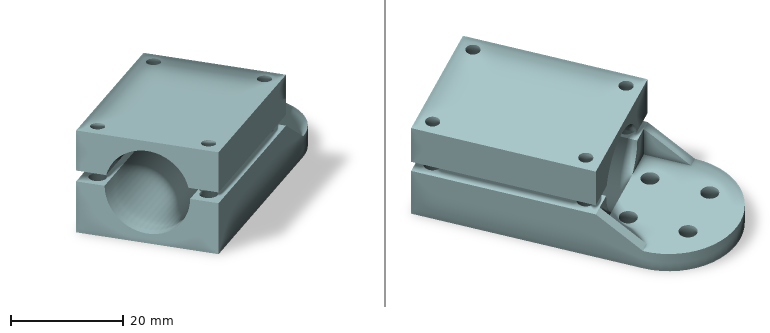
import cadquery as cq

width = 27.0
length = 57.5
height = 20.0

clamp_length = 35.0
base_height = 10.0
cap_thickness = 7.9
bore_radius = 8.1

screw_inset = 3.0
cap_hole_diameter = 2.7
base_hole_diameter = 3.3

tab_thickness = 4.0
wall_thickness = 2.0
tab_hole_spacing = 11.3
tab_hole_diameter = 3.4

tab_radius = width / 2
tab_center_y = length - tab_radius
screw_spacing_x = width - 2 * screw_inset
screw_spacing_y = clamp_length - 2 * screw_inset


def hole_grid(center_y, spacing_x, spacing_y, diameter):
    """Four vertical cylinders, tall enough to cut through the whole clamp."""
    return (
        cq.Workplane("XY")
        .center(0, center_y)
        .rarray(spacing_x, spacing_y, 2, 2)
        .circle(diameter / 2)
        .extrude(height)
    )


def screw_holes(diameter):
    return hole_grid(clamp_length / 2, screw_spacing_x, screw_spacing_y, diameter)


def clamp_bore():
    """Cylinder along Y, centred on the top face of the base."""
    return (
        cq.Workplane("XZ")
        .center(0, base_height)
        .circle(bore_radius)
        .extrude(-clamp_length)
    )


def mounting_tab():
    """Flat plate under the whole base, with a semicircular far end."""
    return (
        cq.Workplane("XY")
        .moveTo(-width / 2, 0)
        .lineTo(width / 2, 0)
        .lineTo(width / 2, tab_center_y)
        .threePointArc((0, length), (-width / 2, tab_center_y))
        .close()
        .extrude(tab_thickness)
    )


def side_wall(start_x):
    """Triangular wall that slopes from the base top down to the tab."""
    return (
        cq.Workplane("YZ", origin=(start_x, 0, 0))
        .moveTo(clamp_length, tab_thickness)
        .lineTo(tab_center_y, tab_thickness)
        .lineTo(clamp_length, base_height)
        .close()
        .extrude(wall_thickness)
    )


def make_base():
    block = cq.Workplane("XY").box(width, clamp_length, base_height, centered=(True, False, False))
    body = block.union(mounting_tab())
    for start_x in (-width / 2, width / 2 - wall_thickness):
        body = body.union(side_wall(start_x))
    tab_holes = hole_grid(tab_center_y, tab_hole_spacing, tab_hole_spacing, tab_hole_diameter)
    return body.cut(clamp_bore()).cut(screw_holes(base_hole_diameter)).cut(tab_holes)


def make_cap():
    block = (
        cq.Workplane("XY", origin=(0, 0, height - cap_thickness))
        .box(width, clamp_length, cap_thickness, centered=(True, False, False))
    )
    return block.cut(clamp_bore()).cut(screw_holes(cap_hole_diameter))


base = make_base()
cap = make_cap()

result = cq.Compound.makeCompound([base.solids().val(), cap.solids().val()])